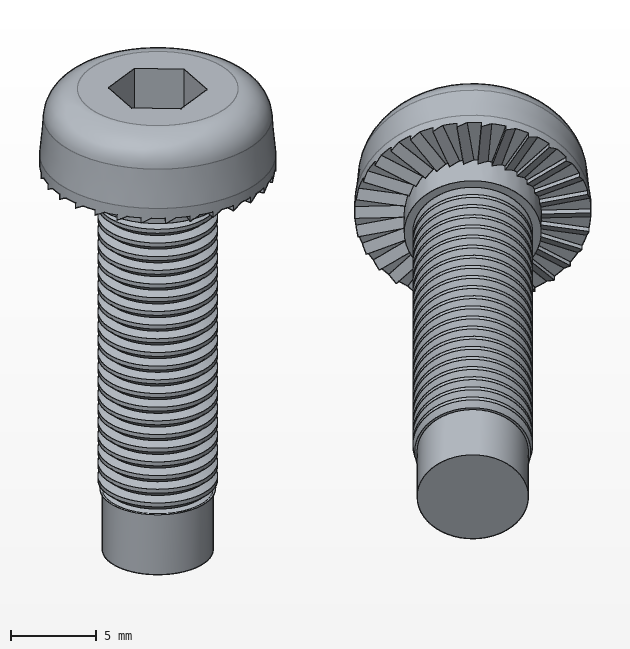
import cadquery as cq
import math

head_radius = 6.9
head_height = 5.3
rim_height = 1.0
draft_angle = 5.0
crown_fillet = 2.0

tooth_count = 30
tooth_height = 0.35
tooth_ramp_angle = 30.0
blank_margin = 0.5

socket_flats = 5.0
socket_depth = 3.43
socket_point_angle = 120.0

shank_length = 25.0
collar_radius = 4.0
collar_length = 1.5
tip_radius = 3.25
tip_length = 4.02

thread_radius = 3.5
root_radius = 3.03
thread_pitch = 0.9
crest_width = 0.26
upper_wall_run = 0.39


def make_head():
    """Revolved head with a drafted side and rounded crown; the blank runs on below z = 0."""
    draft_inset = (head_height - rim_height) * math.tan(math.radians(draft_angle))
    blank = (
        cq.Workplane("XZ")
        .moveTo(0, -blank_margin)
        .lineTo(head_radius, -blank_margin)
        .lineTo(head_radius, rim_height)
        .lineTo(head_radius - draft_inset, head_height)
        .lineTo(0, head_height)
        .close()
        .revolve(360, (0, 0, 0), (0, 1, 0))
    )
    return blank.faces(">Z").edges().fillet(crown_fillet)


def make_tooth_cutter():
    """Disc that trims the head blank from below, leaving the radial teeth."""
    cutter_radius = head_radius + blank_margin
    cutter_bottom = -2 * blank_margin
    cutter = (
        cq.Workplane("XY")
        .workplane(offset=cutter_bottom)
        .circle(cutter_radius)
        .extrude(tooth_height - cutter_bottom)
    )
    tooth_start = collar_radius - blank_margin
    slope = math.tan(math.radians(tooth_ramp_angle))
    over_height = tooth_height + blank_margin
    tooth = (
        cq.Workplane("YZ")
        .workplane(offset=tooth_start)
        .polyline([(0, 0), (over_height / slope, over_height), (0, over_height)])
        .close()
        .extrude(cutter_radius + blank_margin - tooth_start)
    )
    for i in range(tooth_count):
        cutter = cutter.cut(tooth.rotate((0, 0, 0), (0, 0, 1), i * 360 / tooth_count))
    return cutter


def make_shank():
    """Revolved shank; the tip begins partway up the lower wall of the last groove."""
    thread_top = -collar_length
    tip_top = tip_length - shank_length
    groove_width = thread_pitch - crest_width
    lower_wall_run = groove_width - upper_wall_run
    groove_count = math.ceil((thread_top - tip_top) / thread_pitch)

    outline = [(0, rim_height), (collar_radius, rim_height), (collar_radius, thread_top)]
    for i in range(groove_count):
        groove_top = thread_top - i * thread_pitch
        root_z = groove_top - upper_wall_run
        outline.append((thread_radius, groove_top))
        outline.append((root_radius, root_z))
        if i < groove_count - 1:
            outline.append((thread_radius, groove_top - groove_width))

    last_wall_share = (root_z - tip_top) / lower_wall_run
    last_wall_radius = root_radius + last_wall_share * (thread_radius - root_radius)
    outline.append((last_wall_radius, tip_top))
    outline.append((tip_radius, tip_top))
    outline.append((tip_radius, -shank_length))
    outline.append((0, -shank_length))
    return cq.Workplane("XZ").polyline(outline).close().revolve(360, (0, 0, 0), (0, 1, 0))


def make_socket():
    """Hexagonal cutting tool, corners on the X axis, ending in a cone."""
    corner_radius = socket_flats / math.sqrt(3)
    point_length = corner_radius / math.tan(math.radians(socket_point_angle / 2))
    floor_z = head_height - socket_depth
    point_z = floor_z - point_length
    hexagon = (
        cq.Workplane("XY")
        .workplane(offset=point_z)
        .polygon(6, 2 * corner_radius)
        .extrude(head_height - point_z)
    )
    drill = (
        cq.Workplane("XZ")
        .polyline([(0, point_z), (corner_radius, floor_z), (corner_radius, head_height), (0, head_height)])
        .close()
        .revolve(360, (0, 0, 0), (0, 1, 0))
    )
    return hexagon.intersect(drill)


head = make_head().cut(make_tooth_cutter())
result = head.union(make_shank()).cut(make_socket())